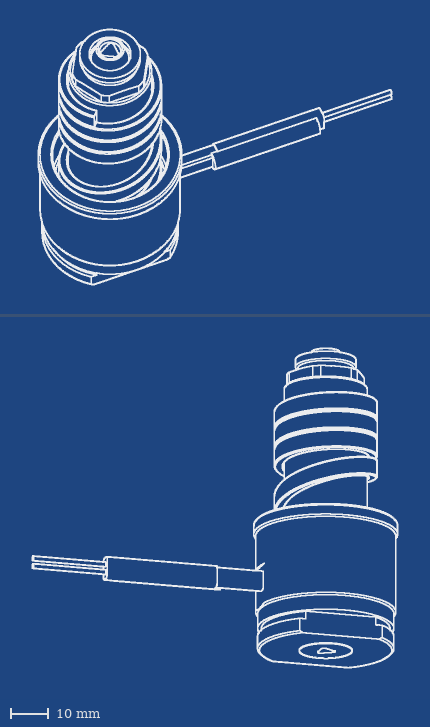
import math

import cadquery as cq

FOOT_RADIUS, FOOT_HEIGHT = 7.0, 0.2
SHELL_RADIUS = 18.5
FLANGE_RADIUS = 19.0
BASE_RADIUS = 18.0
GROOVE_RADIUS = 17.0
GROOVE_BOTTOM, GROOVE_TOP = 4.1, 6.2
SHELL_BOTTOM = 10.2
FLANGE_BOTTOM, FLANGE_TOP = 32.1, 35.1
EDGE_CHAMFER = 0.5
WRENCH_FLAT_WIDTH = 28.0
BACK_FLAT_Y, BACK_FLAT_TOP = 18.1, 21.5

POCKET_RADIUS, POCKET_FLOOR = 15.2, 11.0
LEDGE_RADIUS, LEDGE_HEIGHT = 14.5, 25.0
POCKET_CHAMFER = 0.4

TUBE_RADIUS, TUBE_TOP = 11.0, 72.5
TUBE_CHAMFER = 0.5
HEX_ACROSS_FLATS, HEX_CORNER_RADIUS = 19.0, 10.4
HEX_SHOULDER, HEX_TOP = 75.5, 76.1
NECK_RADIUS, NECK_TOP = 7.4, 77.7
RIM_RADIUS, RIM_BOTTOM, RIM_TOP = 8.0, 78.1, 80.1
RECESS_RADIUS, RECESS_FLOOR = 5.5, 78.1
NOSE_BASE_RADIUS, NOSE_BULGE_RADIUS, NOSE_TOP_RADIUS = 5.0, 4.4, 3.7
NOSE_TOP = 82.2
MOUTH_RADIUS, MOUTH_FLOOR_RADIUS, MOUTH_DEPTH = 3.2, 2.8, 0.8
BORE_CORNER_DISTANCE, BORE_CORNER_RADIUS = 1.8, 0.8

SPRING_INNER_RADIUS, SPRING_OUTER_RADIUS = 11.2, 13.6
STRIP_HEIGHT, STRIP_CHAMFER = 4.9, 0.3
CLOSED_PITCH, OPEN_PITCH = 5.2, 22.2
CLOSED_ANGLE, TRANSITION_ANGLE, OPEN_ANGLE = 1093.0, 140.0, 193.0
SPRING_ANGLE = 2 * (CLOSED_ANGLE + TRANSITION_ANGLE) + OPEN_ANGLE
SPRING_TOP_ANGLE = -41.0
SPRING_TOP_CENTRE = 67.1
CURVE_STEPS = 240

LEAD_X, LEAD_Z = -1.4, 17.2
SLEEVE_WIDTH, SLEEVE_HEIGHT, SLEEVE_FILLET = 3.6, 5.9, 1.0
SLEEVE_START, SLEEVE_END = 30.8, 61.1
CORD_LEFT, CORD_RIGHT, CORD_HEIGHT, CORD_FILLET = -3.0, -0.2, 5.1, 0.6
SIDE_STRIP_RIGHT, SIDE_STRIP_HEIGHT = 0.8, 4.0
CAPSULE_RADIUS, CAPSULE_START, CAPSULE_END = 2.8, 29.1, 59.1
WIRE_DIAMETER, WIRE_SPACING, WIRE_END = 1.3, 2.1, 81.0
LEAD_START = 17.0
LEAD_OVERLAP = 1.0


def make_body():
    """Turned shell with wrench flats, a back flat and the spring pocket."""
    c = EDGE_CHAMFER
    profile = (
        cq.Workplane("XZ")
        .polyline([
            (0, 0),
            (FOOT_RADIUS, 0),
            (FOOT_RADIUS, FOOT_HEIGHT),
            (BASE_RADIUS - c, FOOT_HEIGHT),
            (BASE_RADIUS, FOOT_HEIGHT + c),
            (BASE_RADIUS, GROOVE_BOTTOM),
            (GROOVE_RADIUS, GROOVE_BOTTOM),
            (GROOVE_RADIUS, GROOVE_TOP),
            (BASE_RADIUS, GROOVE_TOP),
            (BASE_RADIUS, SHELL_BOTTOM),
            (SHELL_RADIUS, SHELL_BOTTOM + c),
            (SHELL_RADIUS, FLANGE_BOTTOM - c),
            (FLANGE_RADIUS, FLANGE_BOTTOM),
            (FLANGE_RADIUS, FLANGE_TOP - c),
            (FLANGE_RADIUS - c, FLANGE_TOP),
            (POCKET_RADIUS + POCKET_CHAMFER, FLANGE_TOP),
            (POCKET_RADIUS, FLANGE_TOP - POCKET_CHAMFER),
            (POCKET_RADIUS, LEDGE_HEIGHT),
            (LEDGE_RADIUS, LEDGE_HEIGHT),
            (LEDGE_RADIUS, POCKET_FLOOR),
            (0, POCKET_FLOOR),
        ])
        .close()
    )
    body = profile.revolve(360, (0, 0, 0), (0, 1, 0))
    size = 2 * FLANGE_RADIUS
    for side in (-1, 1):
        flat = cq.Workplane("XY").box(size, size, GROOVE_TOP, centered=(True, True, False))
        body = body.cut(flat.translate((side * (WRENCH_FLAT_WIDTH + size) / 2, 0, 0)))
    back_flat = cq.Workplane("XY").box(
        size, size, BACK_FLAT_TOP - SHELL_BOTTOM, centered=(True, False, False)
    )
    return body.cut(back_flat.translate((0, BACK_FLAT_Y, SHELL_BOTTOM)))


def make_stem():
    """Tube, hex and grooved tip with its nose."""
    tube = (
        cq.Workplane("XY", origin=(0, 0, POCKET_FLOOR))
        .circle(TUBE_RADIUS)
        .extrude(TUBE_TOP - POCKET_FLOOR)
        .faces(">Z")
        .chamfer(TUBE_CHAMFER)
    )
    hex_prism = (
        cq.Workplane("XY", origin=(0, 0, TUBE_TOP))
        .polygon(6, HEX_ACROSS_FLATS, circumscribed=True)
        .extrude(HEX_TOP - TUBE_TOP)
    )
    hex_envelope = (
        cq.Workplane("XZ")
        .polyline([
            (0, TUBE_TOP),
            (HEX_CORNER_RADIUS, TUBE_TOP),
            (HEX_CORNER_RADIUS, HEX_SHOULDER),
            (NECK_RADIUS, HEX_TOP),
            (0, HEX_TOP),
        ])
        .close()
        .revolve(360, (0, 0, 0), (0, 1, 0))
    )
    tip = (
        cq.Workplane("XZ")
        .moveTo(0, HEX_TOP)
        .lineTo(NECK_RADIUS, HEX_TOP)
        .lineTo(NECK_RADIUS, NECK_TOP)
        .lineTo(RIM_RADIUS, RIM_BOTTOM)
        .lineTo(RIM_RADIUS, RIM_TOP)
        .lineTo(RECESS_RADIUS, RIM_TOP)
        .lineTo(RECESS_RADIUS, RECESS_FLOOR)
        .lineTo(NOSE_BASE_RADIUS, RECESS_FLOOR)
        .threePointArc((NOSE_BULGE_RADIUS, RIM_TOP), (NOSE_TOP_RADIUS, NOSE_TOP))
        .lineTo(MOUTH_RADIUS, NOSE_TOP)
        .lineTo(MOUTH_FLOOR_RADIUS, NOSE_TOP - MOUTH_DEPTH)
        .lineTo(0, NOSE_TOP - MOUTH_DEPTH)
        .close()
        .revolve(360, (0, 0, 0), (0, 1, 0))
    )
    return tube.union(hex_prism.intersect(hex_envelope)).union(tip)


def make_bore():
    """Rounded triangular through hole with one corner toward -Y."""
    corners = [
        (
            BORE_CORNER_DISTANCE * math.cos(math.radians(angle)),
            BORE_CORNER_DISTANCE * math.sin(math.radians(angle)),
        )
        for angle in (-90, 30, 150)
    ]
    return cq.Workplane("XY").polyline(corners).close().offset2D(BORE_CORNER_RADIUS).extrude(NOSE_TOP)


def spring_drop(angle):
    """Fall of the strip centre after turning `angle` degrees down from the top end."""
    pitch_rise = OPEN_PITCH - CLOSED_PITCH

    def half_drop(turned):
        blend = min(max(turned - CLOSED_ANGLE, 0), TRANSITION_ANGLE)
        opened = max(turned - CLOSED_ANGLE - TRANSITION_ANGLE, 0)
        extra = pitch_rise * (blend ** 2 / (2 * TRANSITION_ANGLE) + opened)
        return (CLOSED_PITCH * turned + extra) / 360

    if angle <= SPRING_ANGLE / 2:
        return half_drop(angle)
    return 2 * half_drop(SPRING_ANGLE / 2) - half_drop(SPRING_ANGLE - angle)


def make_spring():
    """Chamfered strip wound as a right-hand helix of varying pitch."""
    c = STRIP_CHAMFER
    half = STRIP_HEIGHT / 2
    inner, outer = SPRING_INNER_RADIUS, SPRING_OUTER_RADIUS
    section = [
        (inner + c, -half),
        (outer - c, -half),
        (outer, -half + c),
        (outer, half - c),
        (outer - c, half),
        (inner + c, half),
        (inner, half - c),
        (inner, -half + c),
    ]

    def strip_edge(radius, offset):
        points = []
        for step in range(CURVE_STEPS + 1):
            turned = SPRING_ANGLE * step / CURVE_STEPS
            direction = math.radians(SPRING_TOP_ANGLE - turned)
            height = SPRING_TOP_CENTRE - spring_drop(turned) + offset
            points.append(cq.Vector(radius * math.cos(direction), radius * math.sin(direction), height))
        return cq.Edge.makeSpline(points, parameters=range(CURVE_STEPS + 1))

    edges = [strip_edge(radius, offset) for radius, offset in section]
    faces = [
        cq.Face.makeRuledSurface(edge, edges[(i + 1) % len(edges)])
        for i, edge in enumerate(edges)
    ]
    top_outline = [edge.startPoint() for edge in edges]
    bottom_outline = [edge.endPoint() for edge in edges]
    for outline in (top_outline, bottom_outline):
        faces.append(cq.Face.makeFromWires(cq.Wire.makePolygon(outline, close=True)))
    return cq.Workplane(cq.Solid.makeSolid(cq.Shell.makeShell(faces)))


def lead_bar(left, right, height, start, end):
    """Rectangular bar along Y, centred on the lead's height."""
    bar = cq.Workplane("XY").box(right - left, end - start, height, centered=(False, False, True))
    return bar.translate((left, start, LEAD_Z))


def make_lead():
    """Cord, sleeve, half-round capsule and two bare wires."""
    cord_end = SLEEVE_START + LEAD_OVERLAP
    cord = lead_bar(CORD_LEFT, CORD_RIGHT, CORD_HEIGHT, LEAD_START, cord_end)
    cord = cord.edges("|Y").fillet(CORD_FILLET)
    side_strip = lead_bar(LEAD_X, SIDE_STRIP_RIGHT, SIDE_STRIP_HEIGHT, LEAD_START, cord_end)
    sleeve = lead_bar(
        LEAD_X - SLEEVE_WIDTH / 2, LEAD_X + SLEEVE_WIDTH / 2, SLEEVE_HEIGHT, SLEEVE_START, SLEEVE_END
    )
    sleeve = sleeve.edges("|Y").fillet(SLEEVE_FILLET)
    capsule = (
        cq.Workplane("XZ", origin=(CORD_RIGHT, CAPSULE_START, LEAD_Z))
        .moveTo(0, -CAPSULE_RADIUS)
        .threePointArc((CAPSULE_RADIUS, 0), (0, CAPSULE_RADIUS))
        .close()
        .extrude(CAPSULE_START - CAPSULE_END)
    )
    wire_start = SLEEVE_END - LEAD_OVERLAP
    wires = (
        cq.Workplane("XZ", origin=(LEAD_X, wire_start, LEAD_Z))
        .pushPoints([(0, -WIRE_SPACING / 2), (0, WIRE_SPACING / 2)])
        .circle(WIRE_DIAMETER / 2)
        .extrude(wire_start - WIRE_END)
    )
    return cord.union(side_strip).union(sleeve).union(capsule).union(wires)


result = make_body().union(make_stem()).cut(make_bore()).union(make_lead()).union(make_spring())